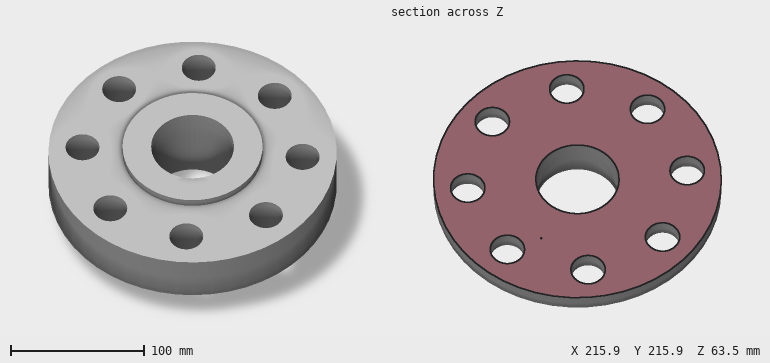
import cadquery as cq

flange_diameter = 215.9
flange_thickness = 38.1
overall_height = 63.5

raised_face_diameter = 104.8
raised_face_height = 6.35
hub_diameter = raised_face_diameter
hub_height = overall_height - flange_thickness - raised_face_height

bore_diameter = 62.0

bolt_count = 8
bolt_hole_diameter = 25.4
bolt_circle_diameter = 165.1
first_bolt_angle = 360 / bolt_count / 2


def cylinder(diameter, height, base_z):
    return cq.Workplane("XY").workplane(offset=base_z).circle(diameter / 2).extrude(height)


def flange_body():
    """Hub, disc and raised face stacked along Z, with the hub end at Z = 0."""
    hub = cylinder(hub_diameter, hub_height, 0)
    disc = cylinder(flange_diameter, flange_thickness, hub_height)
    raised_face = cylinder(raised_face_diameter, raised_face_height, hub_height + flange_thickness)
    return hub.union(disc).union(raised_face)


def bolt_holes():
    """Cutters for the through holes equally spaced on the bolt circle."""
    return (
        cq.Workplane("XY")
        .workplane(offset=hub_height)
        .polarArray(bolt_circle_diameter / 2, first_bolt_angle, 360, bolt_count)
        .circle(bolt_hole_diameter / 2)
        .extrude(flange_thickness)
    )


bore = cylinder(bore_diameter, overall_height, 0)

result = flange_body().cut(bore).cut(bolt_holes())